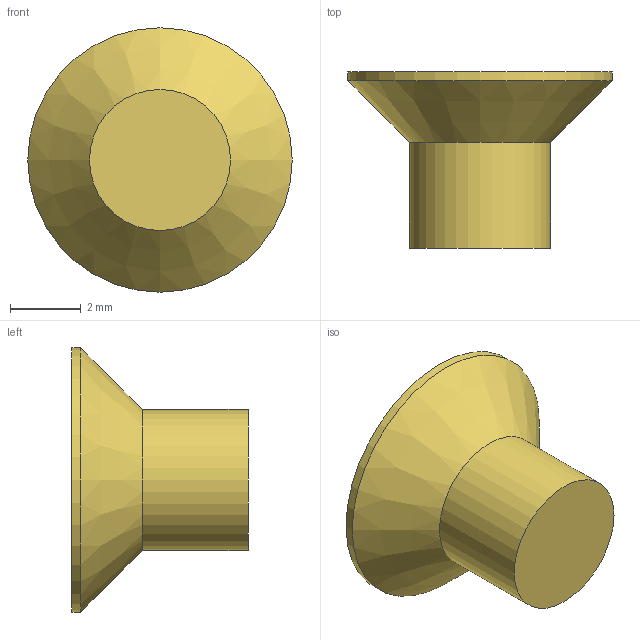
import cadquery as cq

head_diameter = 7.5
shank_diameter = 4.0
total_length = 5.0
rim_thickness = 0.25

head_radius = head_diameter / 2
shank_radius = shank_diameter / 2
cone_length = head_radius - shank_radius

rim_y = -rim_thickness
cone_end_y = rim_y - cone_length
shank_end_y = -total_length


def turned_pin():
    """Revolve the half profile of rim, cone and shank about the Y axis."""
    half_profile = (
        cq.Workplane("XY")
        .moveTo(0, 0)
        .lineTo(head_radius, 0)
        .lineTo(head_radius, rim_y)
        .lineTo(shank_radius, cone_end_y)
        .lineTo(shank_radius, shank_end_y)
        .lineTo(0, shank_end_y)
        .close()
    )
    return half_profile.revolve(360, (0, 0, 0), (0, 1, 0))


result = turned_pin()